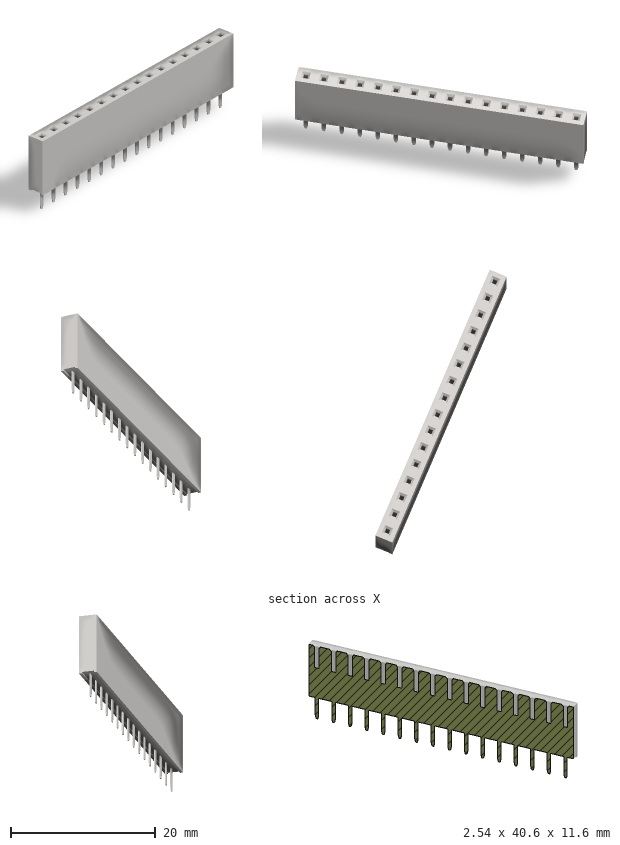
import cadquery as cq

contact_count = 16
housing_length = 40.65
housing_height = 8.5
pitch = housing_length / contact_count
housing_width = pitch

groove_depth = 0.2
groove_width = 1.7

bore_width = 0.6
lead_in_depth = 0.295
mouth_width = bore_width + 2 * lead_in_depth
socket_depth = 4.05

pin_length = 3.1
pin_width = bore_width
pin_thickness = 0.15
tip_width = 0.33
tip_length = 0.55
blade_height_in_socket = 0.6

socket_floor = housing_height - socket_depth
contact_ys = [(i - (contact_count - 1) / 2) * pitch for i in range(contact_count)]


def make_housing():
    """Long block standing on Z = 0, with the groove along its underside."""
    block = cq.Workplane("XY").box(
        housing_width, housing_length, housing_height, centered=(True, True, False)
    )
    groove = cq.Workplane("XY").box(
        groove_width, housing_length, groove_depth, centered=(True, True, False)
    )
    return block.cut(groove)


def make_socket():
    """Volume of one socket on the Z axis, open at the top of the housing."""
    bore = (
        cq.Workplane("XY", origin=(0, 0, socket_floor))
        .rect(bore_width, bore_width)
        .extrude(socket_depth)
    )
    lead_in = (
        cq.Workplane("XY", origin=(0, 0, housing_height))
        .rect(mouth_width, mouth_width)
        .workplane(offset=-lead_in_depth)
        .rect(bore_width, bore_width)
        .loft()
    )
    return bore.union(lead_in)


def make_contact():
    """One flat contact blade on the Z axis, narrowing to a blunt tip at the bottom."""
    blade_top = socket_floor + blade_height_in_socket
    tip_start = tip_length - pin_length
    outline = [
        (-pin_width / 2, blade_top),
        (-pin_width / 2, tip_start),
        (-tip_width / 2, -pin_length),
        (tip_width / 2, -pin_length),
        (pin_width / 2, tip_start),
        (pin_width / 2, blade_top),
    ]
    return cq.Workplane("YZ").polyline(outline).close().extrude(pin_thickness / 2, both=True)


result = make_housing()
socket = make_socket()
contact = make_contact()
for y in contact_ys:
    result = result.cut(socket.translate((0, y, 0)))
    result = result.union(contact.translate((0, y, 0)))